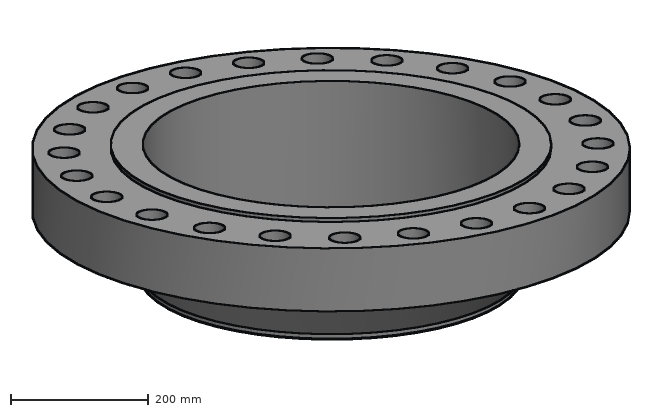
import cadquery as cq
import math

flange_diameter = 870.0
flange_thickness = 97.0

face_diameter = 641.0
face_height = 6.0

hub_end_diameter = 559.0
weld_end_diameter = 553.0
taper_angle = math.radians(30)
hub_fillet_radius = 10.5
total_height = 204.0
hub_land_height = 7.0
bevel_height = 3.0

bore_diameter = 548.0
bolt_circle_diameter = 778.0
bolt_hole_diameter = 45.0
bolt_count = 24

face_z = total_height - face_height
flange_bottom_z = face_z - flange_thickness
taper_start_z = bevel_height + hub_land_height
taper_height = flange_bottom_z - taper_start_z
hub_top_radius = hub_end_diameter / 2 + taper_height * math.tan(taper_angle)


def make_body():
    """Revolve the half section of flange, raised face and hub about Z."""
    tangent_length = hub_fillet_radius * math.tan((math.pi / 2 - taper_angle) / 2)
    taper_tangent = (
        hub_top_radius - tangent_length * math.sin(taper_angle),
        flange_bottom_z - tangent_length * math.cos(taper_angle),
    )
    flange_tangent = (hub_top_radius + tangent_length, flange_bottom_z)
    return (
        cq.Workplane("XZ")
        .moveTo(bore_diameter / 2, 0)
        .lineTo(weld_end_diameter / 2, 0)
        .lineTo(hub_end_diameter / 2, bevel_height)
        .lineTo(hub_end_diameter / 2, taper_start_z)
        .lineTo(*taper_tangent)
        .tangentArcPoint(flange_tangent, relative=False)
        .lineTo(flange_diameter / 2, flange_bottom_z)
        .lineTo(flange_diameter / 2, face_z)
        .lineTo(face_diameter / 2, face_z)
        .lineTo(face_diameter / 2, total_height)
        .lineTo(bore_diameter / 2, total_height)
        .close()
        .revolve(360, (0, 0, 0), (0, 1, 0))
    )


def make_bolt_holes():
    """Cylinders on the bolt circle, as tall as the flange."""
    return (
        cq.Workplane("XY")
        .workplane(offset=flange_bottom_z)
        .polarArray(bolt_circle_diameter / 2, 0, 360, bolt_count)
        .circle(bolt_hole_diameter / 2)
        .extrude(flange_thickness)
    )


result = make_body().cut(make_bolt_holes())